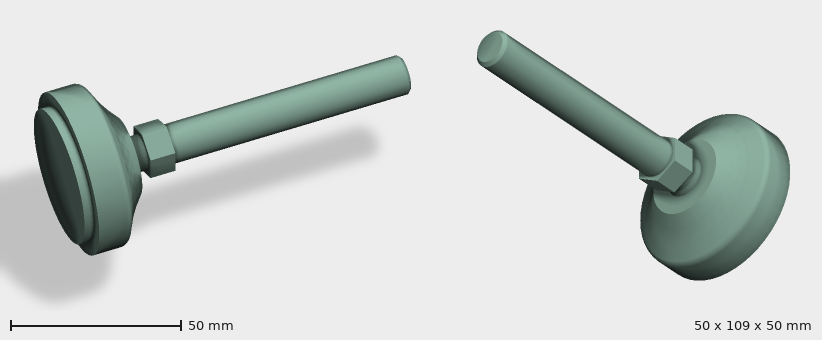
import cadquery as cq
import math

total_length = 109.0

pad_radius = 41.5 / 2
pad_height = 2.9
rim_radius = 50.0 / 2
rim_top = 11.9
shoulder_radius = 24.1
shoulder_top = 13.5
shoulder_bulge = 0.2
base_top_radius = 12.2
base_top = 21.5
flank_hollow = 0.5

flare_radius = 6.4
neck_radius = 11.0 / 2
neck_start = 23.0
nut_start = 26.0
nut_end = 33.9
nut_across_flats = 14.1
stud_radius = 12.0 / 2
tip_chamfer = 1.1


def bowed_midpoint(start, end, bow):
    """Midpoint of start-end, pushed sideways by bow (positive is outward on a rising line)."""
    dx = end[0] - start[0]
    dy = end[1] - start[1]
    length = math.hypot(dx, dy)
    middle_x = (start[0] + end[0]) / 2
    middle_y = (start[1] + end[1]) / 2
    return (middle_x + bow * dy / length, middle_y - bow * dx / length)


def make_turned_body():
    """Base, flare, neck and stud turned about the Y axis."""
    rim_edge = (rim_radius, rim_top)
    shoulder_edge = (shoulder_radius, shoulder_top)
    top_edge = (base_top_radius, base_top)
    profile = (
        cq.Workplane("XY")
        .lineTo(pad_radius, 0)
        .lineTo(pad_radius, pad_height)
        .lineTo(rim_radius, pad_height)
        .lineTo(*rim_edge)
        .threePointArc(bowed_midpoint(rim_edge, shoulder_edge, shoulder_bulge), shoulder_edge)
        .threePointArc(bowed_midpoint(shoulder_edge, top_edge, -flank_hollow), top_edge)
        .lineTo(flare_radius, base_top)
        .lineTo(neck_radius, neck_start)
        .lineTo(neck_radius, nut_end)
        .lineTo(stud_radius, nut_end)
        .lineTo(stud_radius, total_length - tip_chamfer)
        .lineTo(stud_radius - tip_chamfer, total_length)
        .lineTo(0, total_length)
        .close()
    )
    return profile.revolve(360, (0, 0, 0), (0, 1, 0))


def make_nut():
    """Hexagon with flats facing +X and -X, and corners at +Z and -Z."""
    corner_radius = nut_across_flats / math.sqrt(3)
    corner_angles = [math.radians(90 + 60 * i) for i in range(6)]
    corners = [(corner_radius * math.cos(a), corner_radius * math.sin(a)) for a in corner_angles]
    return (
        cq.Workplane("XZ", origin=(0, nut_start, 0))
        .polyline(corners)
        .close()
        .extrude(nut_start - nut_end)
    )


result = make_turned_body().union(make_nut())